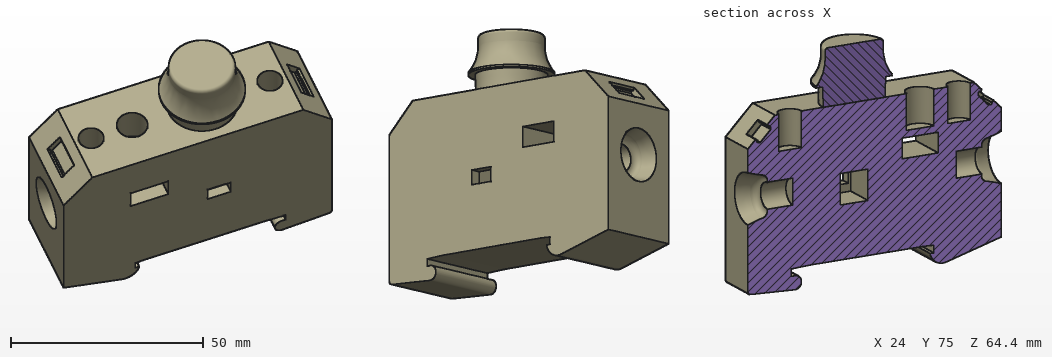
import cadquery as cq
import math

WIDTH = 24.0
LENGTH = 75.0
HEIGHT = 42.4
CORNER_CUT = 8.0

CHANNEL_FRONT = -17.5
CHANNEL_BACK = 24.5
LEDGE_Z = -2.1
SEAT_FRONT_DROP = 0.15
SEAT_FRONT_RUN = 2.6
SEAT_BACK_DROP = 0.2
SEAT_BACK_RUN = 5.8

FRONT_END_Z = -0.9
FRONT_SLOPE = math.radians(15)
FRONT_NOSE_Y = -16.3
FRONT_NOSE_RADIUS = 4.0

BACK_NOSE_Y = 21.5
BACK_NOSE_BOTTOM = -6.15
BACK_NOSE_RADIUS = 1.95
BACK_SLOPE = math.radians(3)
BACK_HEEL_RADIUS = 1.0

LABEL_WIDTH = 9.9
LABEL_HEIGHT = 4.9
LABEL_DEPTH = 1.7
LABEL_LIP_DEPTH = 0.75
LABEL_LIP_TAPER = 1 / 3
LABEL_GROOVE_WIDTH = 0.4

SCREW_HOLE_DIAMETER = 6.6
SCREW_HOLE_Y = 25.0
TEST_HOLE_DIAMETER = 8.0
TEST_HOLE_Y = -13.5
TOP_HOLE_DEPTH = 10.0

ENTRY_Z = 20.8
ENTRY_MOUTH_RADIUS = 7.05
ENTRY_CONE_RADIUS = 5.85
ENTRY_CONE_DEPTH = 4.0
ENTRY_FILLET_RADIUS = 1.8
ENTRY_BORE_RADIUS = 3.6
ENTRY_BORE_LENGTH = 7.5

LARGE_WINDOW_LENGTH = 10.5
LARGE_WINDOW_HEIGHT = 5.5
LARGE_WINDOW_Y = -13.5
LARGE_WINDOW_Z = 27.6
SMALL_WINDOW_LENGTH = 6.45
SMALL_WINDOW_HEIGHT = 3.9
SMALL_WINDOW_Z = 19.3

CHAMBER_WALL = 2.9
CHAMBER_SIDE_MARGIN = 0.75
CHAMBER_HEIGHT_MARGIN = 2.25

BUTTON_Y = 6.0
BUTTON_HEIGHT = 16.0
BUTTON_RADIUS = 8.7
BUTTON_TOP_FILLET = 1.0
FLARE_TOP_Z = 12.75
FLANGE_RADIUS = 11.25
FLANGE_Z = 5.4
FLANGE_THICKNESS = 0.5
NECK_TOP_RADIUS = 9.45
NECK_BOTTOM_RADIUS = 9.3


def housing_block():
    """Side outline with the rail hooks, extruded across the width."""
    front = -LENGTH / 2
    back = LENGTH / 2

    nose_center_y = FRONT_NOSE_Y - FRONT_NOSE_RADIUS
    nose_y = nose_center_y - FRONT_NOSE_RADIUS * math.sin(FRONT_SLOPE)
    nose_z = FRONT_END_Z - (nose_y - front) * math.tan(FRONT_SLOPE)
    nose_center_z = nose_z + FRONT_NOSE_RADIUS * math.cos(FRONT_SLOPE)
    diagonal = FRONT_NOSE_RADIUS * math.sqrt(0.5)
    ledge_reach = math.sqrt(FRONT_NOSE_RADIUS**2 - (LEDGE_Z - nose_center_z) ** 2)

    back_heel_z = BACK_NOSE_BOTTOM + (back - BACK_NOSE_Y) * math.tan(BACK_SLOPE)

    block = (
        cq.Workplane("YZ")
        .moveTo(front, FRONT_END_Z)
        .lineTo(nose_y, nose_z)
        .threePointArc(
            (nose_center_y + diagonal, nose_center_z - diagonal),
            (nose_center_y + ledge_reach, LEDGE_Z),
        )
        .lineTo(CHANNEL_FRONT, LEDGE_Z)
        .lineTo(CHANNEL_FRONT, -SEAT_FRONT_DROP)
        .lineTo(CHANNEL_FRONT + SEAT_FRONT_RUN, 0)
        .lineTo(CHANNEL_BACK - SEAT_BACK_RUN, 0)
        .lineTo(CHANNEL_BACK, -SEAT_BACK_DROP)
        .lineTo(CHANNEL_BACK, LEDGE_Z)
        .lineTo(BACK_NOSE_Y, LEDGE_Z)
        .lineTo(BACK_NOSE_Y, BACK_NOSE_BOTTOM)
        .lineTo(back, back_heel_z)
        .lineTo(back, HEIGHT - CORNER_CUT)
        .lineTo(back - CORNER_CUT, HEIGHT)
        .lineTo(front + CORNER_CUT, HEIGHT)
        .lineTo(front, HEIGHT - CORNER_CUT)
        .close()
        .extrude(WIDTH / 2, both=True)
    )
    nose_corners = cq.selectors.BoxSelector(
        (-WIDTH, BACK_NOSE_Y - BACK_NOSE_RADIUS, BACK_NOSE_BOTTOM - BACK_NOSE_RADIUS),
        (WIDTH, BACK_NOSE_Y + BACK_NOSE_RADIUS, LEDGE_Z + BACK_NOSE_RADIUS),
    )
    block = block.edges("|X").edges(nose_corners).fillet(BACK_NOSE_RADIUS)
    heel = cq.selectors.NearestToPointSelector((0, back, back_heel_z))
    return block.edges("|X").edges(heel).fillet(BACK_HEEL_RADIUS)


def label_pocket(end):
    """Snap-in label pocket in a sloping corner face; end is -1 at the front and 1 at the back."""
    half_mouth = LABEL_HEIGHT / 2
    half_floor = half_mouth - LABEL_LIP_DEPTH * LABEL_LIP_TAPER
    half_groove = half_floor + LABEL_GROOVE_WIDTH
    groove_floor = LABEL_DEPTH - LABEL_GROOVE_WIDTH

    plane = cq.Plane(
        origin=(0, end * (LENGTH - CORNER_CUT) / 2, HEIGHT - CORNER_CUT / 2),
        xDir=(0, -end, 1),
        normal=(end, 0, 0),
    )
    upper_half = [
        (half_mouth, 0),
        (half_floor, LABEL_LIP_DEPTH),
        (half_groove, LABEL_LIP_DEPTH),
        (half_groove, groove_floor),
        (half_floor, LABEL_DEPTH),
    ]
    lower_half = [(-along, depth) for along, depth in reversed(upper_half)]
    return (
        cq.Workplane(plane)
        .polyline(upper_half + lower_half)
        .close()
        .extrude(LABEL_WIDTH / 2, both=True)
    )


def top_hole(diameter, y):
    """Blind hole going down from the top face."""
    return (
        cq.Workplane("XY", origin=(0, y, HEIGHT))
        .circle(diameter / 2)
        .extrude(-TOP_HOLE_DEPTH)
    )


def wire_entry(end):
    """Tapered mouth with a rounded bottom and a smaller bore; end is -1 front, 1 back."""
    floor_depth = ENTRY_CONE_DEPTH + ENTRY_FILLET_RADIUS
    floor_radius = ENTRY_CONE_RADIUS - ENTRY_FILLET_RADIUS
    bore_depth = floor_depth + ENTRY_BORE_LENGTH
    fillet_diagonal = ENTRY_FILLET_RADIUS * math.sqrt(0.5)

    plane = cq.Plane(
        origin=(0, end * LENGTH / 2, ENTRY_Z),
        xDir=(1, 0, 0),
        normal=(0, 0, -end),
    )
    return (
        cq.Workplane(plane)
        .moveTo(0, 0)
        .lineTo(ENTRY_MOUTH_RADIUS, 0)
        .lineTo(ENTRY_CONE_RADIUS, ENTRY_CONE_DEPTH)
        .threePointArc(
            (floor_radius + fillet_diagonal, ENTRY_CONE_DEPTH + fillet_diagonal),
            (floor_radius, floor_depth),
        )
        .lineTo(ENTRY_BORE_RADIUS, floor_depth)
        .lineTo(ENTRY_BORE_RADIUS, bore_depth)
        .lineTo(0, bore_depth)
        .close()
        .revolve(360, (0, 0, 0), (0, 1, 0))
    )


def side_windows():
    """Two rectangular windows right through, the small one crossing an inner chamber."""
    large = cq.Workplane("XY", origin=(0, LARGE_WINDOW_Y, LARGE_WINDOW_Z)).box(
        WIDTH, LARGE_WINDOW_LENGTH, LARGE_WINDOW_HEIGHT
    )
    small_center = cq.Workplane("XY", origin=(0, BUTTON_Y, SMALL_WINDOW_Z))
    small = small_center.box(WIDTH, SMALL_WINDOW_LENGTH, SMALL_WINDOW_HEIGHT)
    chamber = small_center.box(
        WIDTH - 2 * CHAMBER_WALL,
        SMALL_WINDOW_LENGTH + 2 * CHAMBER_SIDE_MARGIN,
        SMALL_WINDOW_HEIGHT + 2 * CHAMBER_HEIGHT_MARGIN,
    )
    return large.union(small.union(chamber))


def make_housing():
    body = housing_block()
    for end in (-1, 1):
        body = body.cut(label_pocket(end))
        body = body.cut(wire_entry(end))
        body = body.cut(top_hole(SCREW_HOLE_DIAMETER, end * SCREW_HOLE_Y))
    body = body.cut(top_hole(TEST_HOLE_DIAMETER, TEST_HOLE_Y))
    return body.cut(side_windows())


def make_button():
    """Turned button: tapered neck, thin flange, concave flare and rounded top."""
    flange_top = FLANGE_Z + FLANGE_THICKNESS
    flare_height = FLARE_TOP_Z - flange_top
    flare_width = FLANGE_RADIUS - BUTTON_RADIUS

    flare_radius = (flare_height**2 + flare_width**2) / (2 * flare_width)
    half_angle = math.asin(flare_height / flare_radius) / 2
    flare_mid = (
        BUTTON_RADIUS + flare_radius * (1 - math.cos(half_angle)),
        FLARE_TOP_Z - flare_radius * math.sin(half_angle),
    )
    profile = (
        cq.Workplane("XZ", origin=(0, BUTTON_Y, HEIGHT))
        .lineTo(NECK_BOTTOM_RADIUS, 0)
        .lineTo(NECK_TOP_RADIUS, FLANGE_Z)
        .lineTo(FLANGE_RADIUS, FLANGE_Z)
        .lineTo(FLANGE_RADIUS, flange_top)
        .threePointArc(flare_mid, (BUTTON_RADIUS, FLARE_TOP_Z))
        .lineTo(BUTTON_RADIUS, BUTTON_HEIGHT)
        .lineTo(0, BUTTON_HEIGHT)
        .close()
    )
    button = profile.revolve(360, (0, 0, 0), (0, 1, 0))
    return button.faces(">Z").edges().fillet(BUTTON_TOP_FILLET)


housing = make_housing()
button = make_button()

result = cq.Compound.makeCompound([housing.val(), button.val()])